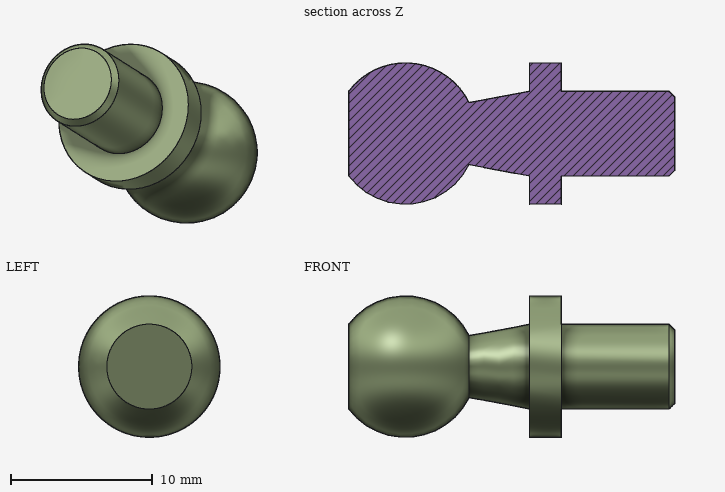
import cadquery as cq
import math

ball_radius = 5.0
ball_flat_radius = 3.0
neck_small_radius = 2.2
neck_large_radius = 3.0
flange_radius = 5.0
flange_thickness = 2.25
shank_radius = 3.0
shank_length = 8.0
shank_chamfer = 0.4
overall_length = 23.0

ball_flat_x = -math.sqrt(ball_radius**2 - ball_flat_radius**2)
neck_start_x = math.sqrt(ball_radius**2 - neck_small_radius**2)
shank_end_x = ball_flat_x + overall_length
flange_back_x = shank_end_x - shank_length
flange_front_x = flange_back_x - flange_thickness


def stud_profile():
    """Half section of the stud, above the X axis."""
    return (
        cq.Workplane("XY")
        .moveTo(ball_flat_x, 0)
        .lineTo(ball_flat_x, ball_flat_radius)
        .threePointArc((0, ball_radius), (neck_start_x, neck_small_radius))
        .lineTo(flange_front_x, neck_large_radius)
        .lineTo(flange_front_x, flange_radius)
        .lineTo(flange_back_x, flange_radius)
        .lineTo(flange_back_x, shank_radius)
        .lineTo(shank_end_x - shank_chamfer, shank_radius)
        .lineTo(shank_end_x, shank_radius - shank_chamfer)
        .lineTo(shank_end_x, 0)
        .close()
    )


result = stud_profile().revolve(360, (0, 0, 0), (1, 0, 0))